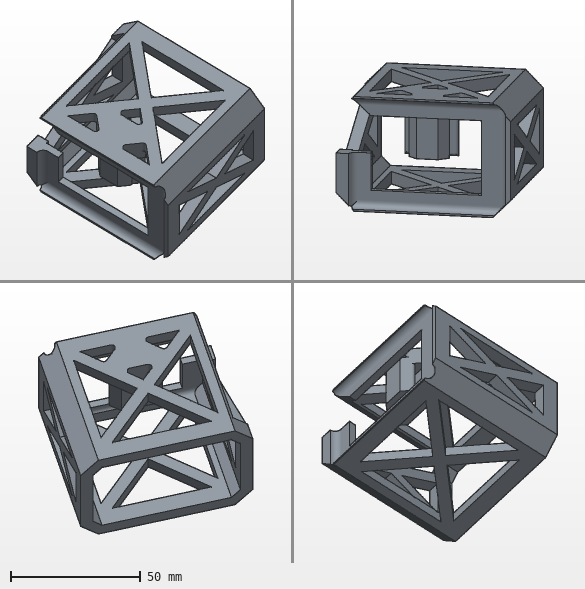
import cadquery as cq
import math

length_x = 69.0
depth_y = 61.0
height_z = 45.5
corner_leg = 7.1
wall = 5.0
cavity_corner_leg = 3.6
front_y = -depth_y / 2
back_y = depth_y / 2
top_z = height_z / 2

recess_depth = 3.0
plate_back_y = front_y + 6.0
plate_back_cove = 2.0
recess_left_x = -29.45
recess_right_x = 32.4
recess_half_z = 21.95
opening_left_x = -21.4
opening_right_x = 22.3
opening_half_z = 14.8

brace = 5.0
window_half_y = 23.4
top_window_half_x = 23.4
side_window_half_z = 11.7

bracket_tip_x = 12.1
bracket_back_drop = 6.8
bracket_height = 25.2
bracket_cap_height = 9.05
slot_width = 2.7
slot_fillet = 1.05
hole_fillet = 1.4

cut_back_y = back_y - 7.5
cut_top_x = -28.65
cut_top_z = top_z - corner_leg + (cut_top_x + length_x / 2)


def box_between(low_corner, high_corner):
    sizes = [high - low for low, high in zip(low_corner, high_corner)]
    return cq.Workplane("XY").box(*sizes, centered=False).translate(low_corner)


def octagon_bar(half_x, half_z, leg, start_y, end_y):
    """Solid bar along Y whose rectangular section has its corners cut at 45 degrees."""
    bar = box_between((-half_x, start_y, -half_z), (half_x, end_y, half_z))
    return bar.edges("|Y").chamfer(leg)


def prism_z(points, bottom_z, height):
    return cq.Workplane("XY").workplane(offset=bottom_z).polyline(points).close().extrude(height)


def brace_triangles(half_u, half_v):
    """Four triangles left in a rectangle by two crossing diagonal braces."""
    diagonal = math.hypot(half_u, half_v)
    gap_u = brace / 2 * diagonal / half_v
    gap_v = brace / 2 * diagonal / half_u
    triangles = []
    for side in (-1, 1):
        triangles.append([
            (side * gap_u, 0),
            (side * half_u, half_v - gap_v),
            (side * half_u, gap_v - half_v),
        ])
        triangles.append([
            (0, side * gap_v),
            (half_u - gap_u, side * half_v),
            (gap_u - half_u, side * half_v),
        ])
    return triangles


def front_recess():
    """Recess whose four sides meet its floor in quarter-round coves with mitred corners."""
    recess = box_between(
        (recess_left_x, front_y - recess_depth, -recess_half_z),
        (recess_right_x, front_y + recess_depth, recess_half_z),
    )
    return recess.faces(">Y").edges().fillet(recess_depth)


def main_shell():
    """Tube whose cavity is coved against the front plate on every side but the left."""
    outer = octagon_bar(length_x / 2, top_z, corner_leg, front_y, back_y)
    half_x = length_x / 2 - wall
    half_z = top_z - wall
    coved_box = box_between((-half_x, plate_back_y, -half_z), (half_x, back_y, half_z))
    coved_box = coved_box.faces("<Y").edges("not <X").fillet(plate_back_cove)
    cavity = octagon_bar(half_x, half_z, cavity_corner_leg, plate_back_y, back_y)
    return outer.cut(cavity.intersect(coved_box))


def front_opening():
    return box_between(
        (opening_left_x, front_y, -opening_half_z),
        (opening_right_x, plate_back_y, opening_half_z),
    )


def side_windows():
    """Braced windows running through both side walls."""
    cutter = cq.Workplane("YZ")
    for triangle in brace_triangles(window_half_y, side_window_half_z):
        cutter = cutter.polyline(triangle).close()
    return cutter.extrude(length_x / 2, both=True)


def top_windows():
    """Braced windows running through the top and bottom walls."""
    cutter = cq.Workplane("XY")
    for triangle in brace_triangles(top_window_half_x, window_half_y):
        cutter = cutter.polyline(triangle).close()
    return cutter.extrude(top_z, both=True)


def open_corner():
    """Upper left corner cleared above the side brace and the post, up to a slanted cut face."""
    brace_slope = side_window_half_z / window_half_y
    brace_rise = brace / 2 * math.hypot(1, brace_slope)
    side_region = (
        cq.Workplane("YZ")
        .polyline([
            (cut_back_y, top_z),
            (cut_back_y, brace_rise + brace_slope * cut_back_y),
            (-window_half_y, brace_rise - brace_slope * window_half_y),
            (-window_half_y, 0),
            (front_y, 0),
            (front_y, top_z),
        ])
        .close()
        .extrude(-length_x / 2)
    )
    corner_region = (
        cq.Workplane("XZ")
        .polyline([
            (-length_x / 2, -top_z),
            (opening_left_x, -top_z),
            (opening_left_x, opening_half_z),
            (cut_top_x, cut_top_z),
            (-length_x / 2, cut_top_z),
        ])
        .close()
        .extrude(depth_y / 2, both=True)
    )
    return side_region.intersect(corner_region)


brace_apex_y = -brace / 2 * math.sqrt(2)
bracket_tip_y = brace_apex_y - bracket_tip_x
bracket_back_y = brace_apex_y - bracket_back_drop
bracket_front_x = bracket_tip_x - (bracket_tip_y + window_half_y)
slot_front_y = bracket_tip_y - slot_width
slot_front_x = bracket_tip_x - slot_width
bracket_bottom_z = top_z - bracket_height
cap_bottom_z = top_z - bracket_cap_height


def mirrored(half_points):
    return half_points + [(-x, y) for x, y in reversed(half_points)]


def bracket_half(half_points, slot_side):
    """One side of the slot, with the slot mouth and lower edge rounded."""
    half = prism_z(mirrored(half_points), bracket_bottom_z, cap_bottom_z - bracket_bottom_z)
    return half.faces(slot_side).edges("|Z or <Z").fillet(slot_fillet)


def bracket():
    back_corner = (bracket_back_drop, bracket_back_y)
    tip = (bracket_tip_x, bracket_tip_y)
    slot_corner = (slot_front_x, slot_front_y)
    front_corner = (bracket_front_x, -window_half_y)
    cap = prism_z(mirrored([back_corner, tip, front_corner]), cap_bottom_z, bracket_cap_height)
    back_half = bracket_half([back_corner, tip], "<Y")
    front_half = bracket_half([slot_corner, front_corner], ">Y")
    return cap.union(back_half).union(front_half)


def rounded_hole(points, rounded_corners):
    """Triangular hole through the top wall, rounded except at its one sharp corner."""
    hole = prism_z(points, top_z - wall, wall)
    return hole.edges("|Z").edges(rounded_corners).fillet(hole_fillet)


def bracket_web():
    """Front triangle of the top window filled in, less the three holes around the bracket."""
    window_corner_x = brace_apex_y + window_half_y
    apex = (0, brace_apex_y)
    window = [apex, (window_corner_x, -window_half_y), (-window_corner_x, -window_half_y)]
    back_hole = rounded_hole(
        [apex, (bracket_back_drop, bracket_back_y), (-bracket_back_drop, bracket_back_y)],
        "not >Y")
    right_hole = rounded_hole(
        [(window_corner_x, -window_half_y), (bracket_tip_x, bracket_tip_y),
         (bracket_front_x, -window_half_y)],
        "not >X")
    left_hole = right_hole.mirror("YZ")
    return prism_z(window, top_z - wall, wall).cut(back_hole).cut(right_hole).cut(left_hole)


result = (
    main_shell()
    .cut(front_recess())
    .cut(front_opening())
    .cut(side_windows())
    .cut(top_windows())
    .cut(open_corner())
    .union(bracket_web())
    .union(bracket())
)